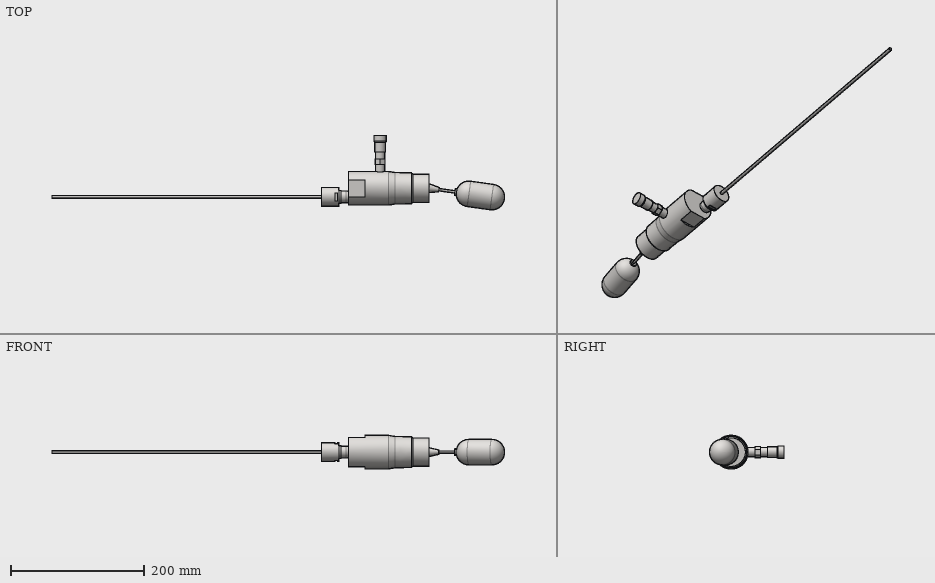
import cadquery as cq
import math

OVERLAP = 1.5

ROD_AXIS_Y = -13.0
ROD_DIAMETER = 5.0
NUT_START, NUT_END = 405.0, 431.5
NUT_DIAMETER = 28.5
NUT_FLAT_START, NUT_FLAT_END = 425.5, 429.5
NUT_FLAT_HEIGHT = 26.0
COLLAR_END = 435.0
COLLAR_DIAMETER = 20.0
NECK_END = 442.5
NECK_DIAMETER = 18.5
NECK_ROOT_DIAMETER = 17.0

BODY_START = 446.0
BODY_DIAMETER = 51.0
BODY_END = 506.0
TAPER_END = 516.0
MIDDLE_START_DIAMETER = 47.5
MIDDLE_END = 540.5
MIDDLE_END_DIAMETER = 47.0
SHOULDER_END = 542.5
TAIL_DIAMETER = 43.0
TAIL_END = 567.0
BODY_FLAT_LENGTH = 24.5
BODY_FLAT_HEIGHT = 44.0

FITTING_X = 493.5
HEX_START, HEX_END = 36.0, 44.0
HEX_ACROSS_FLATS = 15.0
STEM_END = 54.5
STEM_DIAMETER = 14.0
SLEEVE_END = 69.0
SLEEVE_DIAMETER = 16.0
HEAD_START = 71.0
HEAD_END = 79.5
HEAD_DIAMETER = 19.0

CABLE_TILT = 8.0
CABLE_DIAMETER = 4.0
GLAND_LENGTH = 15.0
GLAND_BASE_DIAMETER = 13.5
GLAND_TIP_DIAMETER = 7.0
CAPSULE_DIAMETER = 39.0
CAPSULE_TIP_X = 680.5
CAPSULE_LENGTH = 73.5
FERRULE_LENGTH = 4.0
FERRULE_DIAMETER = 10.0


def turned(profile):
    """Revolve (position, diameter) corners about the X axis."""
    radii = [(position, diameter / 2) for position, diameter in profile]
    outline = [(radii[0][0], 0)] + radii + [(radii[-1][0], 0)]
    return cq.Workplane("XY").polyline(outline).close().revolve(360, (0, 0, 0), (1, 0, 0))


def cut_flats(solid, start, end, height, width):
    """Cut a pair of flats facing +Z and -Z between two X positions, with cutters of the given width."""
    length = end - start
    middle = (start + end) / 2
    for side in (1, -1):
        cutter = cq.Workplane("XY").box(length, width, width)
        solid = solid.cut(cutter.translate((middle, 0, side * (height + width) / 2)))
    return solid


def make_rod_and_nut():
    solid = turned([
        (0, ROD_DIAMETER),
        (NUT_START, ROD_DIAMETER),
        (NUT_START, NUT_DIAMETER),
        (NUT_END, NUT_DIAMETER),
        (NUT_END, COLLAR_DIAMETER),
        (COLLAR_END, COLLAR_DIAMETER),
        (COLLAR_END, NECK_DIAMETER),
        (NECK_END, NECK_DIAMETER),
        (BODY_START + OVERLAP, NECK_ROOT_DIAMETER),
    ])
    solid = cut_flats(solid, NUT_FLAT_START, NUT_FLAT_END, NUT_FLAT_HEIGHT, NUT_DIAMETER)
    return solid.translate((0, ROD_AXIS_Y, 0))


def make_body():
    solid = turned([
        (BODY_START, BODY_DIAMETER),
        (BODY_END, BODY_DIAMETER),
        (TAPER_END, MIDDLE_START_DIAMETER),
        (MIDDLE_END, MIDDLE_END_DIAMETER),
        (SHOULDER_END, TAIL_DIAMETER),
        (TAIL_END, TAIL_DIAMETER),
    ])
    flat_end = BODY_START + BODY_FLAT_LENGTH
    return cut_flats(solid, BODY_START, flat_end, BODY_FLAT_HEIGHT, BODY_DIAMETER)


def make_fitting():
    solid = turned([
        (0, STEM_DIAMETER),
        (STEM_END, STEM_DIAMETER),
        (STEM_END, SLEEVE_DIAMETER),
        (SLEEVE_END, SLEEVE_DIAMETER),
        (HEAD_START, HEAD_DIAMETER),
        (HEAD_END, HEAD_DIAMETER),
    ])
    hex_across_corners = HEX_ACROSS_FLATS / math.cos(math.pi / 6)
    hexagon = (
        cq.Workplane("YZ", origin=(HEX_START, 0, 0))
        .polygon(6, hex_across_corners)
        .extrude(HEX_END - HEX_START)
        .rotate((0, 0, 0), (1, 0, 0), 90)
    )
    return solid.union(hexagon).rotate((0, 0, 0), (0, 0, 1), 90).translate((FITTING_X, 0, 0))


def make_cable_and_capsule():
    radius = CAPSULE_DIAMETER / 2
    tip_centre = (CAPSULE_TIP_X - radius - TAIL_END) / math.cos(math.radians(CABLE_TILT))
    capsule_start = tip_centre + radius - CAPSULE_LENGTH
    rear_centre = capsule_start + radius

    cable = turned([
        (-OVERLAP, GLAND_BASE_DIAMETER),
        (0, GLAND_BASE_DIAMETER),
        (GLAND_LENGTH, GLAND_TIP_DIAMETER),
        (GLAND_LENGTH, CABLE_DIAMETER),
        (capsule_start - FERRULE_LENGTH / 2, CABLE_DIAMETER),
        (capsule_start - FERRULE_LENGTH / 2, FERRULE_DIAMETER),
        (capsule_start + FERRULE_LENGTH / 2, FERRULE_DIAMETER),
    ])
    diagonal = radius * math.sqrt(0.5)
    capsule = (
        cq.Workplane("XY")
        .moveTo(capsule_start, 0)
        .threePointArc((rear_centre - diagonal, diagonal), (rear_centre, radius))
        .lineTo(tip_centre, radius)
        .threePointArc((tip_centre + diagonal, diagonal), (tip_centre + radius, 0))
        .close()
        .revolve(360, (0, 0, 0), (1, 0, 0))
    )
    straight = cable.union(capsule)
    return straight.rotate((0, 0, 0), (0, 0, 1), -CABLE_TILT).translate((TAIL_END, 0, 0))


result = (
    make_body()
    .union(make_rod_and_nut())
    .union(make_fitting())
    .union(make_cable_and_capsule())
)